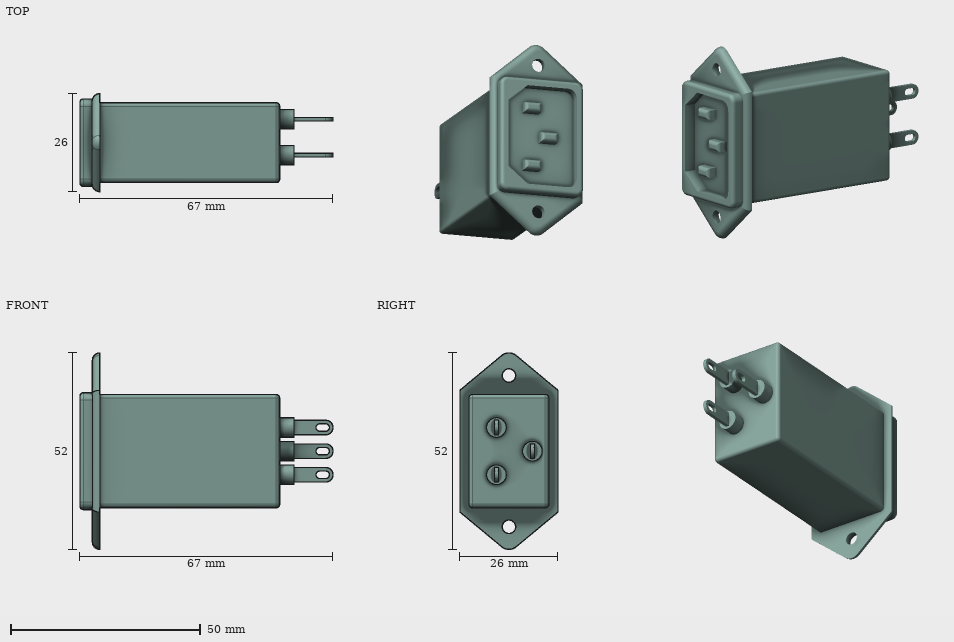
import cadquery as cq
import math


flange_front = 3.3
flange_thickness = 2.0
flange_back = flange_front + flange_thickness
body_back = 52.9
boss_back = 56.7
lug_tip = 67.0

bezel_width = 23.2
bezel_height = 31.0
bezel_corner_radius = 2.0
bezel_front_fillet = 1.0

flange_width = 26.0
flange_height = 52.0
shoulder_height = 32.2
point_radius = 3.0
rim_radius = 1.99
screw_hole_diameter = 3.5
screw_hole_spacing = 40.0

body_width = 21.2
body_height = 30.0
body_edge_fillet = 1.0

socket_width = 19.2
socket_height = 26.9
socket_depth = 3.3
socket_cut_width = 5.45
socket_cut_height = 4.45
socket_corner_radius = 2.5

pin_width = 4.6
pin_height = 2.6
pin_length = 3.0
pin_tip_fillet = 1.0
pin_offset = pin_width / 2
pin_spacing = 7.85
pin_centers = [(pin_offset, pin_spacing), (-pin_offset, 0), (pin_offset, -pin_spacing)]

boss_diameter = 5.2
lug_width = 3.9
lug_thickness = 1.0
lug_hole_width = 1.9
lug_hole_length = 3.5
terminal_spacing = 6.25
outer_terminal_y = -3.3
middle_terminal_y = 6.2
terminal_centers = [
    (outer_terminal_y, terminal_spacing),
    (middle_terminal_y, 0),
    (outer_terminal_y, -terminal_spacing),
]


def section_at(x):
    """Sketch plane across the part at x: local x is +Y, local y is +Z, extruding toward +X."""
    return cq.Workplane("YZ", origin=(x, 0, 0))


def make_body():
    length = body_back - flange_front
    block = section_at(flange_front).rect(body_width, body_height).extrude(length)
    return block.edges("|X").fillet(body_edge_fillet).faces(">X").edges().fillet(body_edge_fillet)


def make_flange():
    half_width = flange_width / 2
    half_height = flange_height / 2
    shoulder = shoulder_height / 2
    arc_center = half_height - point_radius

    corner_distance = math.hypot(half_width, arc_center - shoulder)
    center_angle = math.atan2(shoulder - arc_center, half_width)
    tangent_angle = center_angle + math.acos(point_radius / corner_distance)
    tangent_y = point_radius * math.cos(tangent_angle)
    tangent_z = arc_center + point_radius * math.sin(tangent_angle)

    plate = (
        section_at(flange_front)
        .moveTo(half_width, -shoulder)
        .lineTo(half_width, shoulder)
        .lineTo(tangent_y, tangent_z)
        .threePointArc((0, half_height), (-tangent_y, tangent_z))
        .lineTo(-half_width, shoulder)
        .lineTo(-half_width, -shoulder)
        .lineTo(-tangent_y, -tangent_z)
        .threePointArc((0, -half_height), (tangent_y, -tangent_z))
        .close()
        .extrude(flange_thickness)
    )
    plate = plate.faces("<X").edges().fillet(rim_radius)

    hole_z = screw_hole_spacing / 2
    holes = (
        section_at(flange_front)
        .pushPoints([(0, hole_z), (0, -hole_z)])
        .circle(screw_hole_diameter / 2)
        .extrude(flange_thickness)
    )
    return plate.cut(holes)


def make_bezel():
    block = section_at(0).rect(bezel_width, bezel_height).extrude(flange_back)
    block = block.edges("|X").fillet(bezel_corner_radius)
    return block.faces("<X").edges().fillet(bezel_front_fillet)


def make_socket():
    """Recess volume with two cut corners on the +Y side and two rounded ones on the -Y side."""
    half_width = socket_width / 2
    half_height = socket_height / 2
    cut_y = half_width - socket_cut_width
    cut_z = half_height - socket_cut_height
    recess = (
        section_at(0)
        .moveTo(-half_width, -half_height)
        .lineTo(cut_y, -half_height)
        .lineTo(half_width, -cut_z)
        .lineTo(half_width, cut_z)
        .lineTo(cut_y, half_height)
        .lineTo(-half_width, half_height)
        .close()
        .extrude(socket_depth)
    )
    return recess.edges("|X and <Y").fillet(socket_corner_radius)


def make_pin(y, z):
    pin = section_at(socket_depth).center(y, z).rect(pin_width, pin_height).extrude(-pin_length)
    return pin.faces("<X").edges().fillet(pin_tip_fillet)


def make_terminal(y, z):
    boss = section_at(body_back).center(y, z).circle(boss_diameter / 2).extrude(boss_back - body_back)

    tip_radius = lug_width / 2
    tip_center = lug_tip - tip_radius
    lug_plane = cq.Workplane("XZ", origin=(0, y + lug_thickness / 2, z))
    lug = (
        lug_plane
        .moveTo(boss_back, -tip_radius)
        .lineTo(tip_center, -tip_radius)
        .threePointArc((lug_tip, 0), (tip_center, tip_radius))
        .lineTo(boss_back, tip_radius)
        .close()
        .extrude(lug_thickness)
    )

    slot_center = tip_center + lug_hole_width / 2 - lug_hole_length / 2
    slot = lug_plane.center(slot_center, 0).slot2D(lug_hole_length, lug_hole_width).extrude(lug_thickness)
    return boss.union(lug.cut(slot))


result = make_body().union(make_flange()).union(make_bezel()).cut(make_socket())
for center in pin_centers:
    result = result.union(make_pin(*center))
for center in terminal_centers:
    result = result.union(make_terminal(*center))